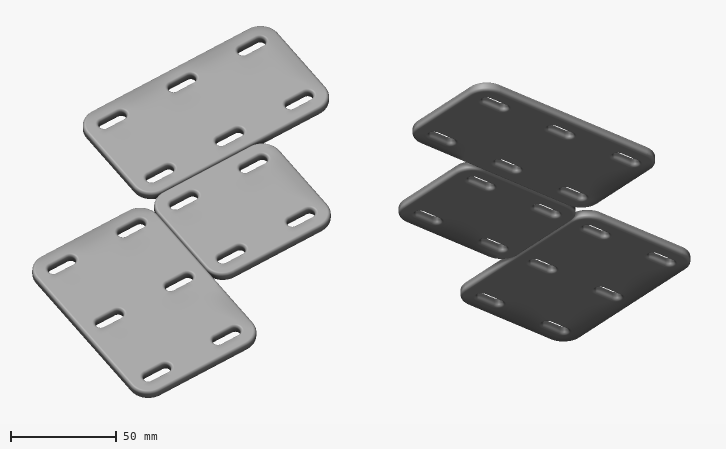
import cadquery as cq

overall_x = 160.0
overall_y = 180.0
thickness = 5.0
slot_pitch = 40.0
slot_width = 5.0
slot_length = 15.0
edge_radius = 1.5

spanned_pitches = 3
spanned_margins = 4
margin_x = (overall_x - spanned_pitches * slot_pitch) / spanned_margins
margin_y = (overall_y - spanned_pitches * slot_pitch) / spanned_margins

corner_radius = margin_x


def plate_size(columns, rows):
    """Outer X and Y size of a plate with the given slot grid."""
    size_x = (columns - 1) * slot_pitch + 2 * margin_x
    size_y = (rows - 1) * slot_pitch + 2 * margin_y
    return size_x, size_y


def slotted_plate(columns, rows, left, bottom):
    """Rounded plate with its lower-left corner at (left, bottom) and rounded rims."""
    size_x, size_y = plate_size(columns, rows)
    center_x = left + size_x / 2
    center_y = bottom + size_y / 2
    blank = (
        cq.Workplane("XY")
        .box(size_x, size_y, thickness)
        .edges("|Z")
        .fillet(corner_radius)
    )
    slots = (
        cq.Workplane("XY")
        .workplane(offset=-thickness / 2)
        .rarray(slot_pitch, slot_pitch, columns, rows)
        .slot2D(slot_length, slot_width, 90)
        .extrude(thickness)
    )
    plate = blank.cut(slots).faces("|Z").edges().fillet(edge_radius)
    return plate.translate((center_x, center_y, thickness / 2))


tall_width, _ = plate_size(2, 3)
_, wide_height = plate_size(3, 2)

tall_plate = slotted_plate(columns=2, rows=3, left=0, bottom=wide_height)
small_plate = slotted_plate(columns=2, rows=2, left=tall_width, bottom=wide_height)
wide_plate = slotted_plate(columns=3, rows=2, left=tall_width, bottom=0)

result = cq.Compound.makeCompound([tall_plate.val(), small_plate.val(), wide_plate.val()])